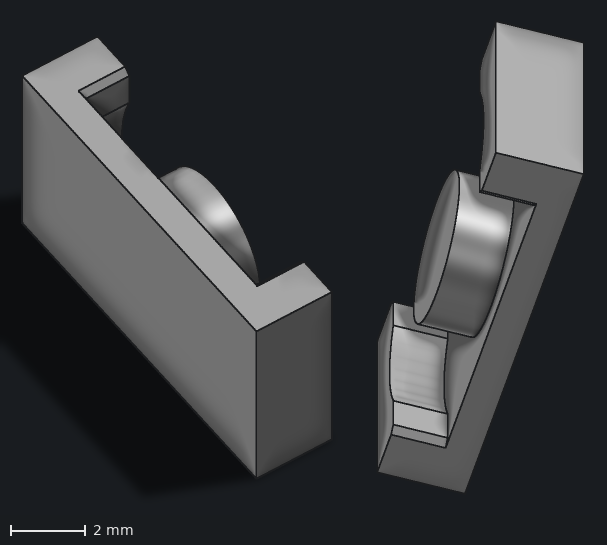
import cadquery as cq

length = 11.0
depth = 2.45
height = 6.0

plate_thickness = 0.94
post_diameter = 4.25

leg_gap = 8.0
gap_chamfer = 0.2
winding_diameter = 8.7

cavity_depth = depth - plate_thickness


def cavity_plane():
    """Sketch plane on the inner face of the plate, with its normal along +Y."""
    return cq.Workplane(cq.Plane(origin=(0, plate_thickness, 0), xDir=(1, 0, 0), normal=(0, 1, 0)))


def leg_opening():
    """Straight passage between the legs, flared at its top and bottom ends."""
    half_gap = leg_gap / 2
    half_height = height / 2
    flare_x = half_gap + gap_chamfer
    flare_z = half_height - gap_chamfer
    outline = [
        (-flare_x, half_height),
        (flare_x, half_height),
        (half_gap, flare_z),
        (half_gap, -flare_z),
        (flare_x, -half_height),
        (-flare_x, -half_height),
        (-half_gap, -flare_z),
        (-half_gap, flare_z),
    ]
    return cavity_plane().polyline(outline).close().extrude(cavity_depth)


def winding_space():
    """Round clearance about the post that hollows the inner face of each leg.

    It is wider than the block is high, so it also runs out at top and bottom.
    """
    return cavity_plane().circle(winding_diameter / 2).extrude(cavity_depth)


block = cq.Workplane("XY").box(length, depth, height, centered=(True, False, True))
post = cavity_plane().circle(post_diameter / 2).extrude(cavity_depth)

result = block.cut(leg_opening()).cut(winding_space()).union(post)